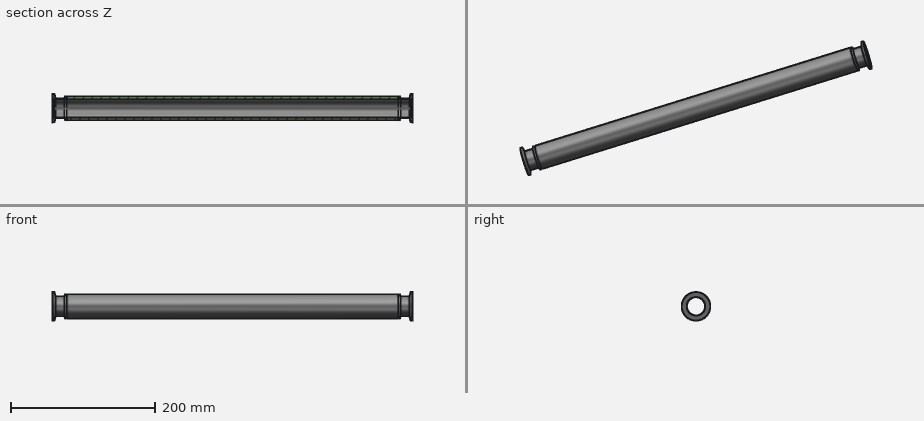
import cadquery as cq
import math

total_length = 500.0

flange_diameter = 40.0
rim_thickness = 2.2
rim_fillet = 1.0
taper_angle = math.radians(15.0)

bore_diameter = 25.0
seat_diameter = 26.0
seat_depth = 2.5

neck_diameter = 28.0
neck_end = 16.5
body_diameter = 34.0

corrugation_pitch = 3.3
crest_fillet = 1.0

half_length = total_length / 2
flange_radius = flange_diameter / 2
neck_radius = neck_diameter / 2
body_radius = body_diameter / 2
half_pitch = corrugation_pitch / 2
corrugation_start = half_length - neck_end
body_end = corrugation_start - corrugation_pitch - half_pitch

crest_center_radius = body_radius - crest_fillet
crest_center_height = crest_center_radius - neck_radius
root_distance = math.hypot(half_pitch, crest_center_height)
flank_angle = math.atan2(crest_center_height, half_pitch) + math.asin(crest_fillet / root_distance)


def arc_point(center, radius, angle):
    """Point (x, r) on an arc, at an angle from the radial direction toward +X."""
    return (center[0] + radius * math.sin(angle), center[1] + radius * math.cos(angle))


def add_flange(profile):
    """Trace the rim, its rounded edge and the taper down to the neck."""
    fillet_center = (half_length - rim_thickness, flange_radius - rim_fillet)
    fillet_sweep = taper_angle - math.pi / 2
    fillet_start = arc_point(fillet_center, rim_fillet, 0)
    fillet_middle = arc_point(fillet_center, rim_fillet, fillet_sweep / 2)
    fillet_end = arc_point(fillet_center, rim_fillet, fillet_sweep)
    taper_end = fillet_end[0] - (fillet_end[1] - neck_radius) * math.tan(taper_angle)
    profile = profile.lineTo(half_length, flange_radius).lineTo(*fillet_start)
    profile = profile.threePointArc(fillet_middle, fillet_end)
    return profile.lineTo(taper_end, neck_radius)


def add_rise(profile, root_x):
    """Trace a flank up from a root and the crest arc to its top."""
    center = (root_x - half_pitch, crest_center_radius)
    profile = profile.lineTo(root_x, neck_radius)
    profile = profile.lineTo(*arc_point(center, crest_fillet, flank_angle))
    middle = arc_point(center, crest_fillet, flank_angle / 2)
    return profile.threePointArc(middle, (center[0], body_radius))


def add_fall(profile, crest_x):
    """Trace the far side of a crest and stop where its flank begins."""
    center = (crest_x, crest_center_radius)
    middle = arc_point(center, crest_fillet, -flank_angle / 2)
    return profile.threePointArc(middle, arc_point(center, crest_fillet, -flank_angle))


def make_end():
    """Revolve the +X end of the tube, solid, from the flange to the top of the last crest."""
    profile = cq.Workplane("XY").moveTo(body_end, 0).lineTo(half_length, 0)
    profile = add_flange(profile)
    profile = add_rise(profile, corrugation_start)
    profile = add_fall(profile, corrugation_start - half_pitch)
    profile = add_rise(profile, corrugation_start - corrugation_pitch)
    return profile.close().revolve(360, (0, 0, 0), (1, 0, 0))


def make_bore():
    """Through bore with a shallow centring seat at each end."""
    bore = cq.Workplane("YZ").circle(bore_diameter / 2).extrude(half_length, both=True)
    seat = cq.Workplane("YZ", origin=(half_length - seat_depth, 0, 0))
    seat = seat.circle(seat_diameter / 2).extrude(seat_depth)
    return bore.union(seat).union(seat.mirror("YZ"))


body = cq.Workplane("YZ", origin=(-body_end, 0, 0)).circle(body_radius).extrude(2 * body_end)
end = make_end()
tube = body.union(end).union(end.mirror("YZ")).cut(make_bore())
result = cq.Workplane(tube.solids().val())